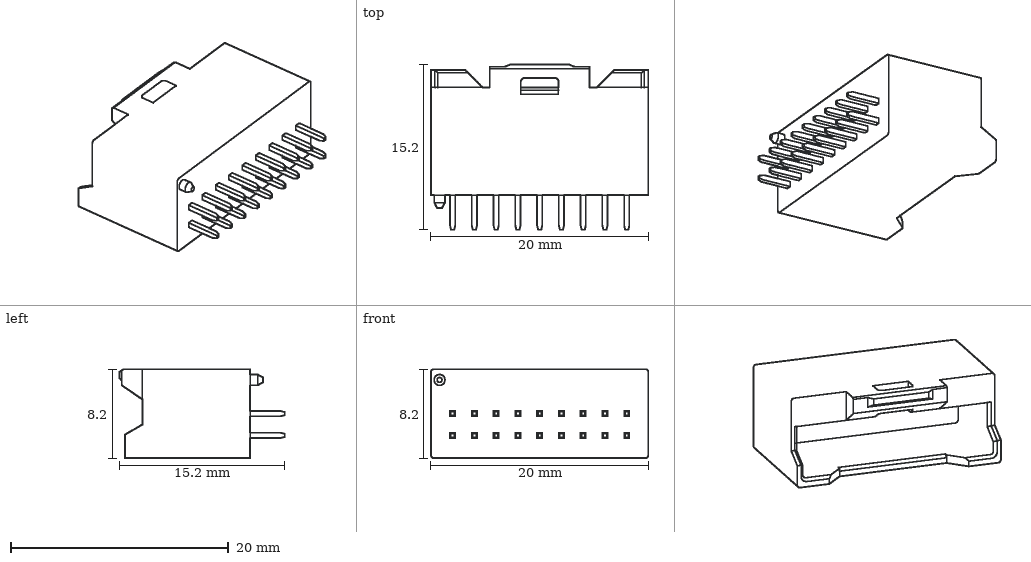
import cadquery as cq
import math

WIDTH = 20.0
HEIGHT = 8.2
BODY_LENGTH = 9.9
EDGE_RADIUS = 0.3

WING_FRONT = 11.5
WING_SLOPE_TOP = 3.1
WING_SLOPE_ANGLE = 30.0
WING_GAP_HALF = 5.25
WING_REACH = WING_FRONT - BODY_LENGTH

SIDE_WALL = 0.65
FLOOR = 0.8
REAR_WALL = 2.0
CAVITY_RADIUS = 0.3
RIM_CHAMFER = 0.28

PIN_COUNT = 9
PIN_PITCH = 2.0
PIN_ROWS = (2.1, 4.1)
PIN_SIZE = 0.5
PIN_LENGTH = 3.2
PIN_TIP_LENGTH = 0.4
PIN_TIP_SIZE = 0.3

CAVITY_HEIGHT = 2 * (sum(PIN_ROWS) / len(PIN_ROWS) - FLOOR)
CEILING = FLOOR + CAVITY_HEIGHT

TAB_WIDTH = 9.2
TAB_FRONT = 11.8
TAB_FRONT_BOTTOM = 6.7
BEVEL_START = 11.6
BEVEL_ANGLE = 32.0

BUMP_FRONT = 12.0
BUMP_BASE_WIDTH = 6.4
BUMP_TIP_WIDTH = 5.4
BUMP_BASE_BOTTOM = 7.15
BUMP_TIP_BOTTOM = BUMP_BASE_BOTTOM + BUMP_FRONT - TAB_FRONT

WINDOW_WIDTH = 3.45
WINDOW_REAR = 9.25
WINDOW_FRONT = 10.75
WINDOW_RADIUS = 0.35

PEG_X = -9.2
PEG_Z = 7.2
PEG_DIAMETER = 1.0
PEG_SHANK_LENGTH = 0.7
PEG_LENGTH = 1.2
PEG_TIP_DIAMETER = 0.45

OVERLAP = 0.5


def side_prism(points, width):
    """Extrude a closed (Y, Z) outline along X, centred on X = 0."""
    return cq.Workplane("YZ").polyline(points).close().extrude(width / 2, both=True)


def rear_plane(x, z):
    """Workplane on the rear face, pointing to -Y."""
    return cq.Workplane("XZ", origin=(x, 0, z))


def bevel_height(y):
    """Height of the tab's sloped front bevel at a given Y."""
    return HEIGHT - (y - BEVEL_START) * math.tan(math.radians(BEVEL_ANGLE))


def make_housing():
    wing_front_top = WING_SLOPE_TOP - WING_REACH * math.tan(math.radians(WING_SLOPE_ANGLE))
    outline = [
        (0, 0),
        (WING_FRONT, 0),
        (WING_FRONT, wing_front_top),
        (BODY_LENGTH, WING_SLOPE_TOP),
        (BODY_LENGTH, HEIGHT),
        (0, HEIGHT),
    ]
    return side_prism(outline, WIDTH).edges("|Y").fillet(EDGE_RADIUS)


def cut_cavity(housing):
    cavity_width = WIDTH - 2 * SIDE_WALL
    cavity = (
        cq.Workplane("XY")
        .box(cavity_width, WING_FRONT - REAR_WALL, CAVITY_HEIGHT, centered=(True, False, False))
        .translate((0, REAR_WALL, FLOOR))
        .edges("|Y and <Z")
        .fillet(CAVITY_RADIUS)
    )
    hollow = housing.cut(cavity)
    rim_zone = cq.selectors.BoxSelector(
        (-cavity_width / 2 - RIM_CHAMFER / 2, BODY_LENGTH - RIM_CHAMFER, FLOOR - RIM_CHAMFER / 2),
        (cavity_width / 2 + RIM_CHAMFER / 2, WING_FRONT + RIM_CHAMFER, CEILING - RIM_CHAMFER),
    )
    return hollow.edges(rim_zone).edges("not |Y").chamfer(RIM_CHAMFER)


def cut_wing_gap(housing):
    """Open the floor between the wings with 45 degree ends, then chamfer its inner edge."""
    front_half = WING_GAP_HALF + WING_REACH
    gap = (
        cq.Workplane("XY")
        .polyline(
            [
                (-WING_GAP_HALF, BODY_LENGTH),
                (WING_GAP_HALF, BODY_LENGTH),
                (front_half, WING_FRONT),
                (-front_half, WING_FRONT),
            ]
        )
        .close()
        .extrude(WING_SLOPE_TOP)
    )
    lead_in = [
        (BODY_LENGTH - RIM_CHAMFER, FLOOR),
        (BODY_LENGTH, FLOOR),
        (BODY_LENGTH, FLOOR - RIM_CHAMFER),
    ]
    return housing.cut(gap).cut(side_prism(lead_in, 2 * WING_GAP_HALF))


def make_tab():
    outline = [
        (BODY_LENGTH - OVERLAP, CEILING),
        (BODY_LENGTH, CEILING),
        (TAB_FRONT, TAB_FRONT_BOTTOM),
        (TAB_FRONT, bevel_height(TAB_FRONT)),
        (BEVEL_START, HEIGHT),
        (BODY_LENGTH - OVERLAP, HEIGHT),
    ]
    return side_prism(outline, TAB_WIDTH)


def make_bump():
    """Low bump: a side outline trimmed to a trapezoid in plan."""
    side_outline = [
        (BEVEL_START, BUMP_BASE_BOTTOM),
        (TAB_FRONT, BUMP_BASE_BOTTOM),
        (BUMP_FRONT, BUMP_TIP_BOTTOM),
        (BUMP_FRONT, bevel_height(BUMP_FRONT)),
        (BEVEL_START, HEIGHT),
    ]
    plan = (
        cq.Workplane("XY")
        .polyline(
            [
                (-BUMP_BASE_WIDTH / 2, BEVEL_START),
                (-BUMP_BASE_WIDTH / 2, TAB_FRONT),
                (-BUMP_TIP_WIDTH / 2, BUMP_FRONT),
                (BUMP_TIP_WIDTH / 2, BUMP_FRONT),
                (BUMP_BASE_WIDTH / 2, TAB_FRONT),
                (BUMP_BASE_WIDTH / 2, BEVEL_START),
            ]
        )
        .close()
        .extrude(HEIGHT)
    )
    return side_prism(side_outline, BUMP_BASE_WIDTH).intersect(plan)


def make_window():
    """Cutter from the top face down into the cavity, rounded at its front corners."""
    return (
        cq.Workplane("XY")
        .box(WINDOW_WIDTH, WINDOW_FRONT - WINDOW_REAR, HEIGHT - CEILING, centered=(True, False, False))
        .translate((0, WINDOW_REAR, CEILING))
        .edges("|Z and >Y")
        .fillet(WINDOW_RADIUS)
    )


def make_pin(x, z):
    shank_length = PIN_LENGTH - PIN_TIP_LENGTH
    shank = (
        rear_plane(x, z)
        .workplane(offset=-OVERLAP)
        .rect(PIN_SIZE, PIN_SIZE)
        .extrude(shank_length + OVERLAP)
    )
    tip = (
        rear_plane(x, z)
        .workplane(offset=shank_length)
        .rect(PIN_SIZE, PIN_SIZE)
        .workplane(offset=PIN_TIP_LENGTH)
        .rect(PIN_TIP_SIZE, PIN_TIP_SIZE)
        .loft()
    )
    return shank.union(tip)


def make_peg():
    outline = [
        (0, OVERLAP),
        (PEG_DIAMETER / 2, OVERLAP),
        (PEG_DIAMETER / 2, -PEG_SHANK_LENGTH),
        (PEG_TIP_DIAMETER / 2, -PEG_LENGTH),
        (0, -PEG_LENGTH),
    ]
    peg = cq.Workplane("XY").polyline(outline).close().revolve(360, (0, 0, 0), (0, 1, 0))
    return peg.translate((PEG_X, 0, PEG_Z))


result = cut_wing_gap(cut_cavity(make_housing()))
result = result.union(make_tab()).union(make_bump()).cut(make_window()).union(make_peg())
for row_z in PIN_ROWS:
    for column in range(PIN_COUNT):
        pin_x = (column - (PIN_COUNT - 1) / 2) * PIN_PITCH
        result = result.union(make_pin(pin_x, row_z))